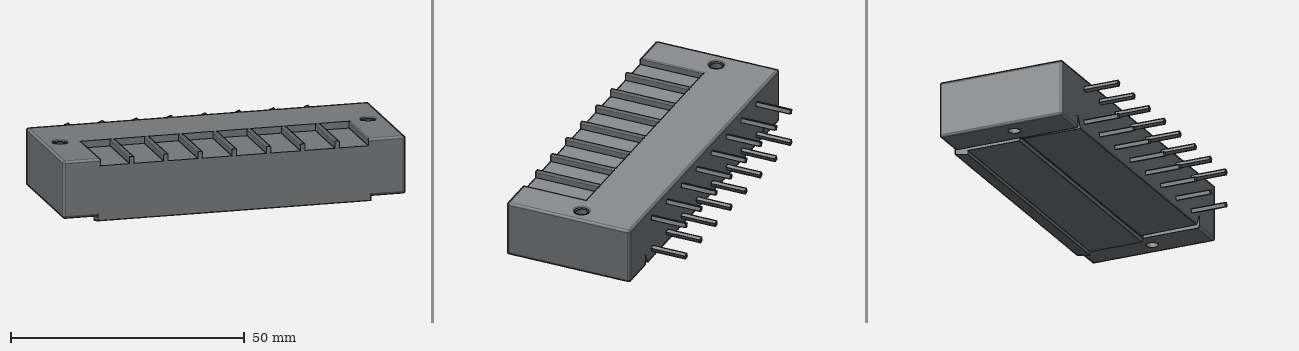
import cadquery as cq
import math

BODY_LENGTH = 76.2
BODY_DEPTH = 29.0
BODY_HEIGHT = 12.7
EDGE_RADIUS = 0.5

PIN_COUNT = 8
PITCH = 7.6
PIN_LENGTH = 8.0
PIN_SIDE = 0.9
PIN_TWIST = 20.0

POCKET_LENGTH = 15.0
POCKET_DEPTH = 1.5
RIB_WIDTH = 1.0
POCKET_EDGE_RADIUS = 0.2
POCKET_FLOOR = BODY_HEIGHT - POCKET_DEPTH
POCKET_BANK_WIDTH = 59.7

HOLE_DIAMETER = 2.7
COUNTERSINK_DIAMETER = 3.2
COUNTERSINK_DEPTH = 0.45
HOLE_EDGE_RADIUS = 0.25
HOLE_X = 13.1
HOLE_Y = 34.3

LATCH_WIDTH = 60.8
LATCH_LENGTH = 15.6
LATCH_THICKNESS = 0.7
LATCH_FRONT_SLOPE = 0.4
HOOK_LENGTH = 3.05
HOOK_TIP_DROP = 1.6
HOOK_END_DROP = 1.0

RECESS_HEIGHT = 0.2
RECESS_HALF_WIDTH = 30.2
GROOVE_WIDTH = 1.45
GROOVE_HEIGHT = 2.75
GROOVE_SINK = 0.7
RECESS_LENGTH = BODY_DEPTH - LATCH_LENGTH

column_positions = [(i - (PIN_COUNT - 1) / 2) * PITCH for i in range(PIN_COUNT)]
rib_positions = [y + PITCH / 2 for y in column_positions[:-1]]

ARC_MIDDLE = 1 - math.sqrt(0.5)


def make_body():
    block = cq.Workplane("XY").box(BODY_DEPTH, BODY_LENGTH, BODY_HEIGHT, centered=(False, True, False))
    return block.edges().fillet(EDGE_RADIUS)


def make_pocket_bank():
    """One wide pocket: plain at its closed end, with rounded top edges along its two side walls."""
    half = POCKET_BANK_WIDTH / 2
    r = POCKET_EDGE_RADIUS
    bend = r * ARC_MIDDLE
    profile = (
        cq.Workplane("YZ", origin=(BODY_DEPTH - POCKET_LENGTH, 0, 0))
        .moveTo(-half, POCKET_FLOOR)
        .lineTo(half, POCKET_FLOOR)
        .lineTo(half, BODY_HEIGHT - r)
        .threePointArc((half + bend, BODY_HEIGHT - bend), (half + r, BODY_HEIGHT))
        .lineTo(-half - r, BODY_HEIGHT)
        .threePointArc((-half - bend, BODY_HEIGHT - bend), (-half, BODY_HEIGHT - r))
        .close()
    )
    return profile.extrude(POCKET_LENGTH)


def make_rib(y):
    rib = cq.Workplane("XY").box(POCKET_LENGTH, RIB_WIDTH, POCKET_DEPTH, centered=(False, True, False))
    rib = rib.edges("|X and >Z").fillet(POCKET_EDGE_RADIUS)
    return rib.translate((BODY_DEPTH - POCKET_LENGTH, y, POCKET_FLOOR))


def make_pin(y, z, twist):
    pin = cq.Workplane("XY").box(PIN_LENGTH + EDGE_RADIUS, PIN_SIDE, PIN_SIDE, centered=(False, True, True))
    return pin.rotate((0, 0, 0), (1, 0, 0), twist).translate((-PIN_LENGTH, y, z))


def make_hole(y):
    r = COUNTERSINK_DIAMETER / 2
    e = HOLE_EDGE_RADIUS
    bend = e * ARC_MIDDLE
    profile = (
        cq.Workplane("XZ")
        .lineTo(HOLE_DIAMETER / 2, 0)
        .lineTo(HOLE_DIAMETER / 2, BODY_HEIGHT - COUNTERSINK_DEPTH)
        .lineTo(r, BODY_HEIGHT - e)
        .threePointArc((r + bend, BODY_HEIGHT - bend), (r + e, BODY_HEIGHT))
        .lineTo(0, BODY_HEIGHT)
        .close()
    )
    return profile.revolve(360, (0, 0), (0, 1)).translate((HOLE_X, y, 0))


def make_latch():
    start = BODY_DEPTH - LATCH_LENGTH
    hook = BODY_DEPTH - HOOK_LENGTH
    outline = [
        (start, EDGE_RADIUS),
        (start, 0),
        (start + LATCH_FRONT_SLOPE, -LATCH_THICKNESS),
        (hook, -LATCH_THICKNESS),
        (hook, -HOOK_TIP_DROP),
        (BODY_DEPTH, -HOOK_END_DROP),
        (BODY_DEPTH, EDGE_RADIUS),
    ]
    return cq.Workplane("XZ").polyline(outline).close().extrude(LATCH_WIDTH / 2, both=True)


def make_recess():
    return cq.Workplane("XY").box(RECESS_LENGTH, 2 * RECESS_HALF_WIDTH, RECESS_HEIGHT, centered=(False, True, False))


def groove_section(side, x, sink):
    outer = side * RECESS_HALF_WIDTH
    inner = outer - side * GROOVE_WIDTH
    corners = [(outer, -sink), (outer, GROOVE_HEIGHT - sink), (inner, -sink)]
    return cq.Wire.makePolygon([cq.Vector(x, y, z) for y, z in corners], close=True)


def make_groove(side):
    """Triangular groove that sinks out of the bottom face as it runs toward the latch."""
    start = groove_section(side, 0, 0)
    end = groove_section(side, RECESS_LENGTH, GROOVE_SINK)
    return cq.Solid.makeLoft([start, end], True)


housing = make_body().cut(make_recess())
for side in (-1, 1):
    housing = housing.cut(make_hole(side * HOLE_Y))
    housing = housing.cut(make_groove(side))
housing = housing.cut(make_pocket_bank())
for y in rib_positions:
    housing = housing.union(make_rib(y))

result = housing.union(make_latch())
for y in column_positions:
    for level in (-1, 1):
        result = result.union(make_pin(y, (BODY_HEIGHT + level * PITCH) / 2, level * PIN_TWIST))